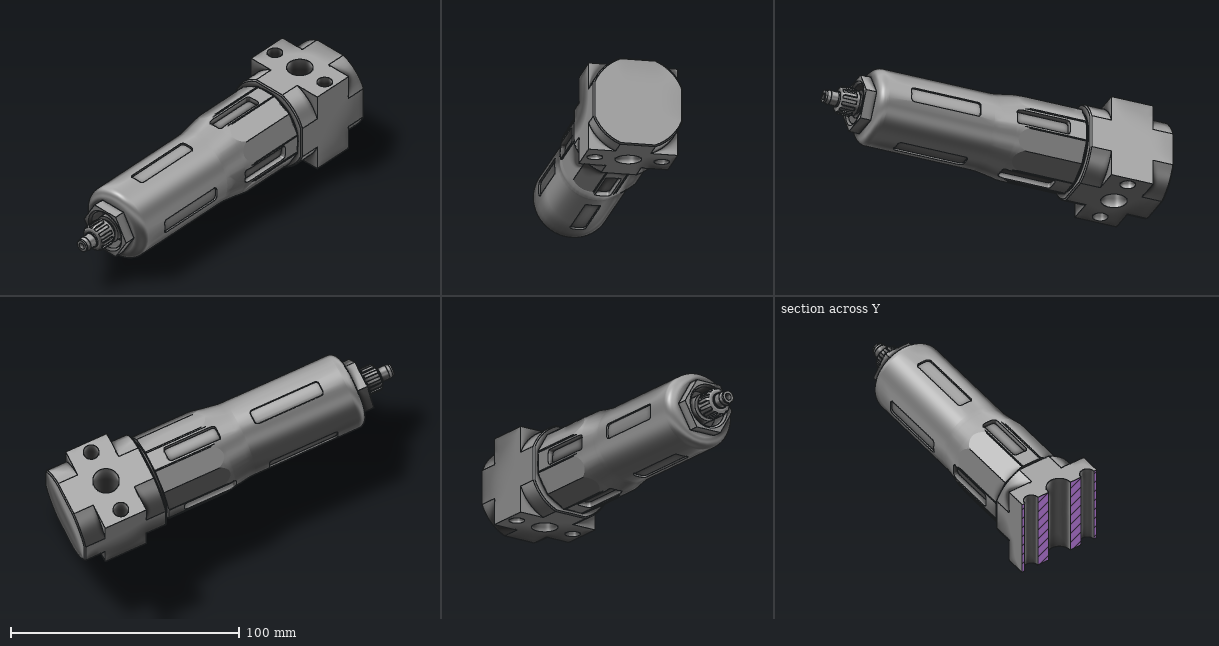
import cadquery as cq
import math


head_size = 40.0
head_round_diameter = 43.0
head_edge_chamfer = 0.6
arm_width = 20.0
port_diameter = 11.6
mount_hole_diameter = 6.8
mount_hole_spacing = 30.0
seat_ring_diameter = 36.0
seat_ring_height = 0.4
head_front = head_size / 2
seat_end = head_front + seat_ring_height

neck_diameter = 34.2
grip_start = 21.5
grip_sides = 12
grip_across_flats = 38.0
grip_corner_radius = grip_across_flats / 2 / math.cos(math.pi / grip_sides)
taper_start = 48.6
taper_start_slope = 0.13
slot_face_recess = 0.15
slot_face_width = 9.0

bowl_start = 64.4
bowl_end = 119.1
bowl_diameter = 34.8
bowl_fillet = 4.2

slots_around = 4
slot_width = 7.0
slot_corner = 1.5
slot_floor_diameter = 33.0
grip_slot = (29.2, 54.4)
bowl_slot = (71.2, 104.4)

hex_across_flats = 22.0
hex_height = 5.0
hex_end = bowl_end + hex_height
cup_mouth_diameter = 20.0
cup_diameter = 18.0
cup_chamfer_depth = 1.0
cup_depth = 8.0
cup_floor = hex_end - cup_depth

plug_diameter = 12.6
plug_end = 122.4
groove_diameter = 9.0
groove_end = 123.8
shank_diameter = 11.2
knob_diameter = 12.6
knob_start = 125.5
knob_end = 132.3
knob_rounding = 1.8
tooth_count = 12
tooth_width = 1.5
collar_diameter = 7.1
collar_end = 133.0
stem_diameter = 6.4
barb_start = 136.5
barb_diameter = 6.8
barb_end = 138.1
tip_diameter = 5.6
nipple_end = 139.0
bore_diameter = 3.0
bore_depth = 10.0


def disc(diameter, start, end):
    """Cylinder on the part axis between two stations."""
    return cq.Workplane("XZ", origin=(0, -start, 0)).circle(diameter / 2).extrude(end - start)


def prism(sides, across_flats, start, end):
    """Regular prism on the part axis with flats facing up and down."""
    across_corners = across_flats / math.cos(math.pi / sides)
    turn = 90 - 180 / sides
    return (
        cq.Workplane("XZ", origin=(0, -start, 0))
        .transformed(rotate=(0, 0, turn))
        .polygon(sides, across_corners)
        .extrude(end - start)
    )


def revolved(points):
    """Solid of revolution from (diameter, station) points along its outside."""
    first_station = points[0][1]
    last_station = points[-1][1]
    outside = [(diameter / 2, -station) for diameter, station in points]
    outline = [(0, -first_station)] + outside + [(0, -last_station)]
    return cq.Workplane("XY").polyline(outline).close().revolve(360, (0, 0, 0), (0, 1, 0))


def upward_bar(width, start, end, bottom):
    """Bar centred on X between two stations, reaching up from a height to beyond the part."""
    return (
        cq.Workplane("XY", origin=(0, -(start + end) / 2, bottom))
        .rect(width, end - start)
        .extrude(head_size)
    )


def around_axis(shape, count):
    """Copies of a shape spread evenly about the part axis."""
    return [shape.rotate((0, 0, 0), (0, 1, 0), 360 * i / count) for i in range(count)]


def make_head():
    """Round-cornered block with square cross arms, a through port and two mounting holes."""
    block = cq.Workplane("XY").box(head_size, head_size, head_size)
    rounded = disc(head_round_diameter, -head_front, head_front).intersect(block)
    rounded = rounded.faces("<Y or >Y").edges().chamfer(head_edge_chamfer)
    arms = cq.Workplane("XY").box(head_size, arm_width, head_size)
    seat_ring = disc(seat_ring_diameter, head_front, seat_end)
    port = cq.Workplane("XY").circle(port_diameter / 2).extrude(head_size, both=True)
    mounts = (
        cq.Workplane("XY")
        .pushPoints([(-mount_hole_spacing / 2, 0), (mount_hole_spacing / 2, 0)])
        .circle(mount_hole_diameter / 2)
        .extrude(head_size, both=True)
    )
    return rounded.union(arms).union(seat_ring).cut(port).cut(mounts)


def make_grip():
    """Twelve-sided grip whose flats run out on a taper that flows into the barrel."""
    envelope = (
        cq.Workplane("XY")
        .moveTo(0, -grip_start)
        .lineTo(grip_corner_radius, -grip_start)
        .lineTo(grip_corner_radius, -taper_start)
        .spline(
            [(bowl_diameter / 2, -bowl_start)],
            tangents=[(-taper_start_slope, -1), (0, -1)],
            includeCurrent=True,
        )
        .lineTo(0, -bowl_start)
        .close()
        .revolve(360, (0, 0, 0), (0, 1, 0))
    )
    grip = envelope.intersect(prism(grip_sides, grip_across_flats, grip_start, bowl_start))
    slot_face_height = grip_across_flats / 2 - slot_face_recess
    face_recess = upward_bar(slot_face_width, grip_start, bowl_start, slot_face_height)
    for recess in around_axis(face_recess, slots_around):
        grip = grip.cut(recess)
    return grip


def make_slot_cutter(start, end):
    """Round-cornered window above the cylindrical slot floor."""
    window = upward_bar(slot_width, start, end, 0).edges("|Z").fillet(slot_corner)
    return window.cut(disc(slot_floor_diameter, start, end))


def make_cup():
    """Recess in the hexagonal end, with a conical mouth."""
    return revolved([
        (cup_diameter, cup_floor),
        (cup_diameter, hex_end - cup_chamfer_depth),
        (cup_mouth_diameter, hex_end),
    ])


def make_knob():
    """Rounded cylinder with straight-sided teeth around a core as wide as the shank."""
    blank = disc(knob_diameter, knob_start, knob_end).faces("<Y").edges().fillet(knob_rounding)
    gaps = disc(knob_diameter, knob_start, knob_end).cut(disc(shank_diameter, knob_start, knob_end))
    tooth = upward_bar(tooth_width, knob_start, knob_end, 0)
    for kept in around_axis(tooth, tooth_count):
        gaps = gaps.cut(kept)
    return blank.cut(gaps)


def make_drain():
    """Drain that stands on the cup floor: stepped shank, knob and bored nipple."""
    shank = revolved([
        (plug_diameter, cup_floor),
        (plug_diameter, plug_end),
        (groove_diameter, plug_end),
        (groove_diameter, groove_end),
        (shank_diameter, groove_end),
        (shank_diameter, knob_start),
    ])
    nipple = revolved([
        (collar_diameter, knob_end),
        (collar_diameter, collar_end),
        (stem_diameter, collar_end),
        (stem_diameter, barb_start),
        (barb_diameter, barb_start),
        (tip_diameter, barb_end),
        (tip_diameter, nipple_end),
    ])
    bore = disc(bore_diameter, nipple_end - bore_depth, nipple_end)
    return shank.union(make_knob()).union(nipple).cut(bore)


def make_bowl():
    """Bowl in one piece: neck, grip, slotted barrel, hexagonal end and drain."""
    neck = disc(neck_diameter, seat_end, grip_start)
    barrel = disc(bowl_diameter, bowl_start, bowl_end).faces("<Y").edges().fillet(bowl_fillet)
    hex_part = prism(6, hex_across_flats, bowl_end, hex_end)
    bowl = neck.union(make_grip()).union(barrel).union(hex_part)
    for start, end in (grip_slot, bowl_slot):
        for cutter in around_axis(make_slot_cutter(start, end), slots_around):
            bowl = bowl.cut(cutter)
    return bowl.cut(make_cup()).union(make_drain())


head = make_head()
bowl = make_bowl()

result = cq.Compound.makeCompound([head.val(), bowl.val()])